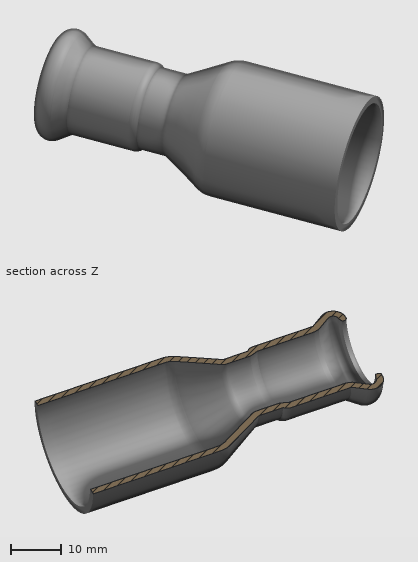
import cadquery as cq
import math

LENGTH = 66.0
WALL = 1.5

BEAD_RADIUS = 11.55
BEAD_TUBE_RADIUS = 2.7
BEAD_END = 7.0
MOUTH_FACE_RADIUS = 8.25
LIP_RADIUS = 15.8 / 2
LIP_START = 0.4
LIP_END = 1.1

SOCKET_RADIUS = 18.4 / 2
SOCKET_BORE_RADIUS = 15.2 / 2
LEAD_IN_RADIUS = 15.8 / 2
LEAD_IN_END = 7.4
SOCKET_END = 19.9
NECK_START = 21.7
NECK_RADIUS = 17.0 / 2
NECK_BORE_RADIUS = 14.0 / 2
NECK_END = 26.85
NECK_ROUND = 0.8

PIPE_RADIUS = 28.0 / 2
PIPE_BORE_RADIUS = 25.0 / 2
PIPE_START = 38.0
SHOULDER_ROUND = 5.3


def point_on_circle(center, radius, angle):
    return (center[0] + radius * math.cos(angle), center[1] + radius * math.sin(angle))


bead_center = (BEAD_TUBE_RADIUS, BEAD_RADIUS - BEAD_TUBE_RADIUS)
flank_run = BEAD_END - bead_center[0]
flank_rise = SOCKET_RADIUS - bead_center[1]
flank_angle = math.atan2(flank_rise, flank_run) + math.acos(
    BEAD_TUBE_RADIUS / math.hypot(flank_run, flank_rise)
)
groove_radius = BEAD_TUBE_RADIUS - WALL
flank_tangent = point_on_circle(bead_center, BEAD_TUBE_RADIUS, flank_angle)
groove_tangent = point_on_circle(bead_center, groove_radius, flank_angle)
groove_flank_end = bead_center[0] + (
    groove_radius - (LEAD_IN_RADIUS - bead_center[1]) * math.sin(flank_angle)
) / math.cos(flank_angle)

neck_round_center = (NECK_END, NECK_RADIUS + NECK_ROUND)
shoulder_center = (PIPE_START, PIPE_RADIUS - SHOULDER_ROUND)
cone_run = PIPE_START - neck_round_center[0]
cone_rise = shoulder_center[1] - neck_round_center[1]
cone_slope = math.atan2(cone_rise, cone_run) + math.asin(
    (SHOULDER_ROUND + NECK_ROUND) / math.hypot(cone_run, cone_rise)
)
cone_normal = cone_slope + math.pi / 2
shoulder_mid = (cone_normal + math.pi / 2) / 2
neck_round_end = cone_normal - math.pi
neck_round_mid = (neck_round_end - math.pi / 2) / 2
inner_round = SHOULDER_ROUND - (PIPE_RADIUS - PIPE_BORE_RADIUS)
inner_neck_round = neck_round_center[1] - NECK_BORE_RADIUS


def outer_profile():
    """Outside of the wall, from the mouth face to the pipe end, then closed on the axis."""
    step_round = NECK_START - SOCKET_END
    step_drop = SOCKET_RADIUS - NECK_RADIUS
    step_bulge = step_drop * (1 - math.sin(math.pi / 3))
    return (
        cq.Workplane("XY")
        .moveTo(0, 0)
        .lineTo(0, bead_center[1])
        .threePointArc(
            point_on_circle(bead_center, BEAD_TUBE_RADIUS, (math.pi + flank_angle) / 2),
            flank_tangent,
        )
        .lineTo(BEAD_END, SOCKET_RADIUS)
        .lineTo(SOCKET_END, SOCKET_RADIUS)
        .threePointArc(
            (SOCKET_END + step_round / 2, SOCKET_RADIUS - step_bulge),
            (NECK_START, NECK_RADIUS),
        )
        .lineTo(NECK_END, NECK_RADIUS)
        .threePointArc(
            point_on_circle(neck_round_center, NECK_ROUND, neck_round_mid),
            point_on_circle(neck_round_center, NECK_ROUND, neck_round_end),
        )
        .lineTo(*point_on_circle(shoulder_center, SHOULDER_ROUND, cone_normal))
        .threePointArc(
            point_on_circle(shoulder_center, SHOULDER_ROUND, shoulder_mid),
            (PIPE_START, PIPE_RADIUS),
        )
        .lineTo(LENGTH, PIPE_RADIUS)
        .lineTo(LENGTH, 0)
        .close()
    )


def bore_profile():
    """Mouth, seal groove, lead-in cone, socket, neck bore, reducing cone and pipe bore."""
    return (
        cq.Workplane("XY")
        .moveTo(0, 0)
        .lineTo(0, MOUTH_FACE_RADIUS)
        .lineTo(LIP_START, LIP_RADIUS)
        .lineTo(LIP_END, LIP_RADIUS)
        .lineTo(bead_center[0] - groove_radius, bead_center[1])
        .threePointArc(
            point_on_circle(bead_center, groove_radius, (math.pi + flank_angle) / 2),
            groove_tangent,
        )
        .lineTo(groove_flank_end, LEAD_IN_RADIUS)
        .lineTo(LEAD_IN_END, SOCKET_BORE_RADIUS)
        .lineTo(SOCKET_END, SOCKET_BORE_RADIUS)
        .lineTo(NECK_START, NECK_BORE_RADIUS)
        .lineTo(NECK_END, NECK_BORE_RADIUS)
        .threePointArc(
            point_on_circle(neck_round_center, inner_neck_round, neck_round_mid),
            point_on_circle(neck_round_center, inner_neck_round, neck_round_end),
        )
        .lineTo(*point_on_circle(shoulder_center, inner_round, cone_normal))
        .threePointArc(
            point_on_circle(shoulder_center, inner_round, shoulder_mid),
            (PIPE_START, PIPE_BORE_RADIUS),
        )
        .lineTo(LENGTH, PIPE_BORE_RADIUS)
        .lineTo(LENGTH, 0)
        .close()
    )


def revolve_about_x(profile):
    return profile.revolve(360, (0, 0, 0), (1, 0, 0))


result = revolve_about_x(outer_profile()).cut(revolve_about_x(bore_profile()))